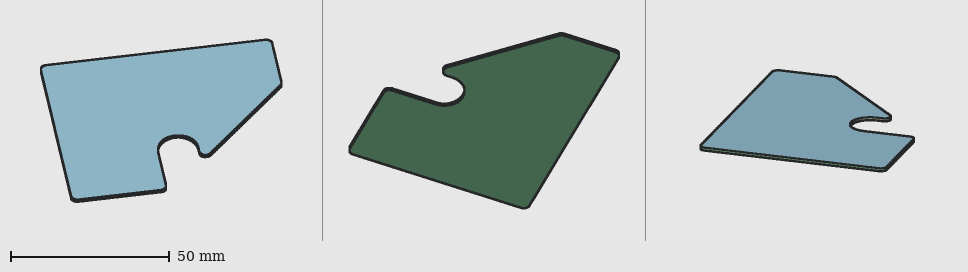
import cadquery as cq

thickness = 1.0
tilt = -32.5
base_width = 61.9
long_edge = 74.0
top_width = 20.5
tongue_height = 30.4
slot_radius = 6.4
slot_center_x = 44.6
corner_radius = 2.0

slot_center_y = tongue_height + slot_radius
slot_top = tongue_height + 2 * slot_radius
slot_end_x = slot_center_x - slot_radius
lip_tip_x = top_width + long_edge - slot_top

outline = (
    cq.Workplane("XY")
    .moveTo(0, 0)
    .lineTo(base_width, 0)
    .lineTo(base_width, tongue_height)
    .lineTo(slot_center_x, tongue_height)
    .threePointArc((slot_end_x, slot_center_y), (slot_center_x, slot_top))
    .lineTo(lip_tip_x, slot_top)
    .lineTo(top_width, long_edge)
    .lineTo(0, long_edge)
    .close()
)
plate = outline.extrude(thickness)

corners = [
    (0, 0),
    (base_width, 0),
    (base_width, tongue_height),
    (lip_tip_x, slot_top),
    (top_width, long_edge),
    (0, long_edge),
]
for x, y in corners:
    corner_edge = cq.selectors.NearestToPointSelector((x, y, thickness / 2))
    plate = plate.edges("|Z").edges(corner_edge).fillet(corner_radius)

result = plate.rotate((0, 0, 0), (0, 0, 1), tilt)